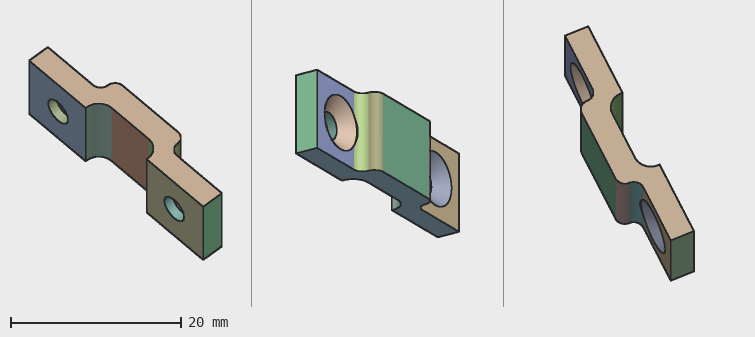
import cadquery as cq

length = 30.0
height = 10.0
plate_thickness = 3.0
total_depth = 5.5
bridge_width = 12.0
channel_width = 10.5
channel_depth = 2.25
channel_radius = 2.05
outer_radius = 1.23
hole_diameter = 3.4
hole_spacing = 20.0
countersink_diameter = 2 * hole_diameter
countersink_depth = (countersink_diameter - hole_diameter) / 2


def make_strap():
    plates = cq.Workplane("XY").box(length, plate_thickness, height, centered=(True, False, True))
    bridge = cq.Workplane("XY").box(bridge_width, total_depth, height, centered=(True, False, True))
    body = plates.union(bridge)
    for side in (-1, 1):
        for y in (plate_thickness, total_depth):
            corner = cq.selectors.NearestToPointSelector((side * bridge_width / 2, y, 0))
            body = body.edges("|Z").edges(corner).fillet(outer_radius)
    return body


def make_channel():
    channel = cq.Workplane("XY").box(channel_width, channel_depth, height, centered=(True, False, True))
    return channel.edges("|Z and >Y").fillet(channel_radius)


def make_hole(x):
    axis = cq.Vector(0, 1, 0)
    hole_radius = hole_diameter / 2
    countersink_radius = countersink_diameter / 2
    cone_start = cq.Vector(x, plate_thickness - countersink_depth, 0)
    head_start = cq.Vector(x, plate_thickness, 0)
    bore = cq.Solid.makeCylinder(hole_radius, plate_thickness, cq.Vector(x, 0, 0), axis)
    cone = cq.Solid.makeCone(hole_radius, countersink_radius, countersink_depth, cone_start, axis)
    head_clearance = cq.Solid.makeCylinder(countersink_radius, total_depth - plate_thickness, head_start, axis)
    return cq.Workplane(bore).union(cq.Workplane(cone)).union(cq.Workplane(head_clearance))


result = make_strap().cut(make_channel())
for side in (-1, 1):
    result = result.cut(make_hole(side * hole_spacing / 2))
result = result.translate((0, -total_depth / 2, 0))